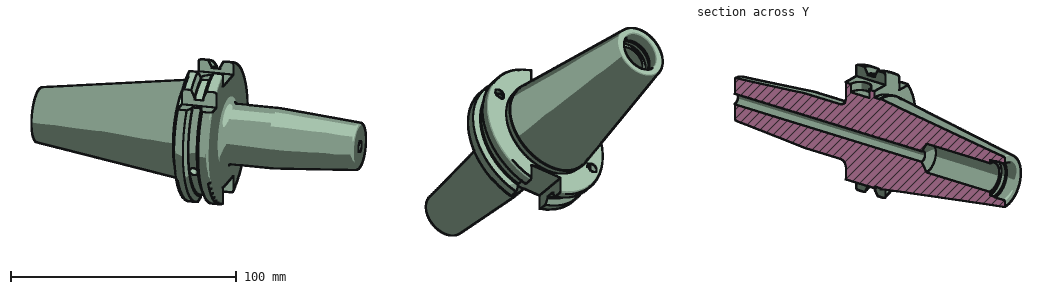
import cadquery as cq
import math

overall_length = 148.4

gauge_diameter = 44.5
gauge_x = 68.4
taper_ratio = 7 / 24
small_end_diameter = gauge_diameter - taper_ratio * gauge_x
shank_end_fillet = 0.7
relief_diameter = 43.8

flange_diameter = 63.4
flange_start = 71.5
flange_end = 87.5
flange_edge_fillet = 1.0
groove_center_x = 79.4
groove_floor_width = 4.0
groove_floor_diameter = 56.5
groove_mouth_width = 7.1
groove_half_angle = 30.0

neck_diameter = 27.0
neck_fillet = 3.0
nose_taper_start = 110.1
nose_end_diameter = 21.0
nose_end_fillet = 1.2

mouth_fillet = 0.9
pilot_diameter = 17.7
pilot_depth = 5.5
thread_relief_diameter = 17.0
thread_relief_start = 6.1
thread_relief_depth = 8.3
core_diameter = 13.8
core_depth = 43.0
drill_point_angle = 118.0
through_diameter = 4.9

rim_search_margin = 0.07

slot_width = 16.0
slot_floor_top = 25.0
slot_floor_bottom = 22.7
notch_inner_edge = 18.5
socket_diameter = 10.0
socket_depth = 4.0

coolant_angle = 20.0
coolant_face_radius = 27.0
coolant_tilt = 35.0
coolant_mouth_diameter = 4.0
coolant_mouth_depth = 1.6
coolant_feed_diameter = 3.3
coolant_feed_depth = 12.6
coolant_outlet_diameter = 4.0
coolant_outlet_depth = 8.9


def make_body():
    """Turn the outside of the holder: shank, grooved flange and nose."""
    flange_radius = flange_diameter / 2
    half_floor = groove_floor_width / 2
    half_mouth = groove_mouth_width / 2
    flank_depth = (half_mouth - half_floor) / math.tan(math.radians(groove_half_angle))
    flank_radius = flange_radius - flank_depth
    floor_radius = groove_floor_diameter / 2
    neck_radius = neck_diameter / 2
    arc_offset = neck_fillet * (1 - math.sqrt(0.5))

    profile = (
        cq.Workplane("XY")
        .lineTo(0, small_end_diameter / 2)
        .lineTo(gauge_x, gauge_diameter / 2)
        .lineTo(gauge_x, relief_diameter / 2)
        .lineTo(flange_start, relief_diameter / 2)
        .lineTo(flange_start, flange_radius)
        .lineTo(groove_center_x - half_mouth, flange_radius)
        .lineTo(groove_center_x - half_floor, flank_radius)
        .lineTo(groove_center_x - half_floor, floor_radius)
        .lineTo(groove_center_x + half_floor, floor_radius)
        .lineTo(groove_center_x + half_floor, flank_radius)
        .lineTo(groove_center_x + half_mouth, flange_radius)
        .lineTo(flange_end, flange_radius)
        .lineTo(flange_end, neck_radius + neck_fillet)
        .threePointArc(
            (flange_end + arc_offset, neck_radius + arc_offset),
            (flange_end + neck_fillet, neck_radius),
        )
        .lineTo(nose_taper_start, neck_radius)
        .lineTo(overall_length, nose_end_diameter / 2)
        .lineTo(overall_length, 0)
        .close()
    )
    body = profile.revolve(360, (0, 0, 0), (1, 0, 0))

    body = round_rim(body, 0, small_end_diameter, shank_end_fillet)
    body = round_rim(body, flange_start, flange_diameter, flange_edge_fillet)
    body = round_rim(body, flange_end, flange_diameter, flange_edge_fillet)
    return round_rim(body, overall_length, nose_end_diameter, nose_end_fillet)


def round_rim(body, x, diameter, radius):
    """Fillet the circular edge of the given diameter that lies at x."""
    margin = rim_search_margin
    outer = diameter / 2 + margin
    inner = diameter / 2 - margin
    low_x = x - margin
    high_x = x + margin
    within_rim = cq.selectors.BoxSelector((low_x, -outer, -outer), (high_x, outer, outer), boundingbox=True)
    inside_rim = cq.selectors.BoxSelector((low_x, -inner, -inner), (high_x, inner, inner), boundingbox=True)
    return body.edges(within_rim - inside_rim).fillet(radius)


def make_bore():
    """Turn the stepped bore with its rounded mouth and drill point."""
    pilot_radius = pilot_diameter / 2
    core_radius = core_diameter / 2
    through_radius = through_diameter / 2
    point_length = (core_radius - through_radius) / math.tan(math.radians(drill_point_angle / 2))
    arc_offset = mouth_fillet * (1 - math.sqrt(0.5))
    profile = (
        cq.Workplane("XY")
        .lineTo(0, pilot_radius + mouth_fillet)
        .threePointArc((arc_offset, pilot_radius + arc_offset), (mouth_fillet, pilot_radius))
        .lineTo(pilot_depth, pilot_radius)
        .lineTo(thread_relief_start, thread_relief_diameter / 2)
        .lineTo(thread_relief_depth, thread_relief_diameter / 2)
        .lineTo(thread_relief_depth, core_radius)
        .lineTo(core_depth, core_radius)
        .lineTo(core_depth + point_length, through_radius)
        .lineTo(overall_length, through_radius)
        .lineTo(overall_length, 0)
        .close()
    )
    return profile.revolve(360, (0, 0, 0), (1, 0, 0))


def flange_block(y_min, y_max, z_min, z_max):
    """Box across the full flange thickness."""
    size = (flange_end - flange_start, y_max - y_min, z_max - z_min)
    return cq.Workplane("XY").box(*size, centered=False).translate((flange_start, y_min, z_min))


def make_flange_cuts():
    """Two driving slots, the corner notch and the round socket in the upper slot."""
    outside = flange_diameter
    half_slot = slot_width / 2
    top_slot = flange_block(-half_slot, half_slot, slot_floor_top, outside)
    bottom_slot = flange_block(-half_slot, half_slot, -outside, -slot_floor_bottom)
    notch = flange_block(-outside, -notch_inner_edge, notch_inner_edge, outside)
    socket = (
        cq.Workplane("XY", origin=((flange_start + flange_end) / 2, 0, slot_floor_top - socket_depth))
        .circle(socket_diameter / 2)
        .extrude(outside)
    )
    return top_slot.union(bottom_slot).union(notch).union(socket)


def drill(diameter, start, direction, depth):
    """Flat-bottomed round hole from a start point along a unit direction."""
    return cq.Workplane(cq.Solid.makeCylinder(diameter / 2, depth, cq.Vector(*start), cq.Vector(*direction)))


def make_coolant_holes(side_angle):
    """Inclined hole in the flange face and the radial hole that meets it from the groove."""
    tilt = math.radians(coolant_tilt)
    direction = (math.cos(tilt), -math.sin(tilt), 0)
    lead = coolant_mouth_diameter * math.tan(tilt)
    start = (flange_start - lead * direction[0], coolant_face_radius - lead * direction[1], 0)
    mouth = drill(coolant_mouth_diameter, start, direction, lead + coolant_mouth_depth)
    feed = drill(coolant_feed_diameter, start, direction, lead + coolant_feed_depth)

    groove_start = (groove_center_x, flange_diameter / 2, 0)
    floor_depth = (flange_diameter - groove_floor_diameter) / 2
    outlet = drill(coolant_outlet_diameter, groove_start, (0, -1, 0), floor_depth + coolant_outlet_depth)
    holes = mouth.union(feed).union(outlet)
    return holes.rotate((0, 0, 0), (1, 0, 0), side_angle)


result = make_body().cut(make_bore()).cut(make_flange_cuts())
for side in (0, 180):
    result = result.cut(make_coolant_holes(coolant_angle + side))